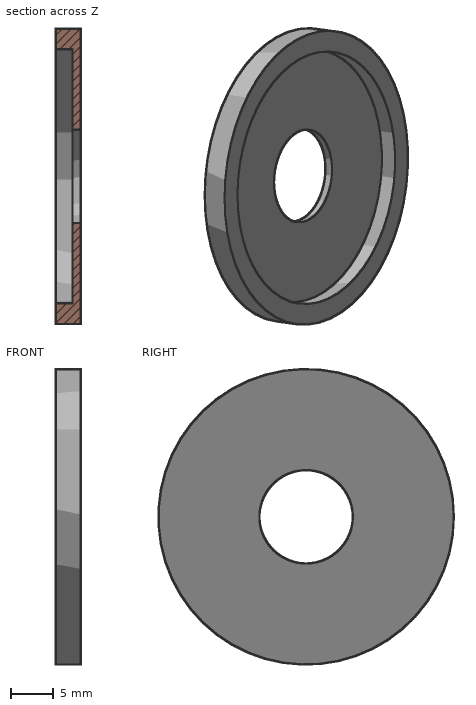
import cadquery as cq

outer_diameter = 34.9
thickness = 3.0
recess_diameter = 29.98
bore_diameter = 11.0
web_thickness = 1.0
recess_depth = thickness - web_thickness


def disc(diameter, length):
    """Solid disc starting at the -X face and extending toward +X."""
    return cq.Workplane("YZ", origin=(-thickness / 2, 0, 0)).circle(diameter / 2).extrude(length)


body = disc(outer_diameter, thickness)

recess = disc(recess_diameter, recess_depth)

bore = disc(bore_diameter, thickness)

result = body.cut(recess).cut(bore)